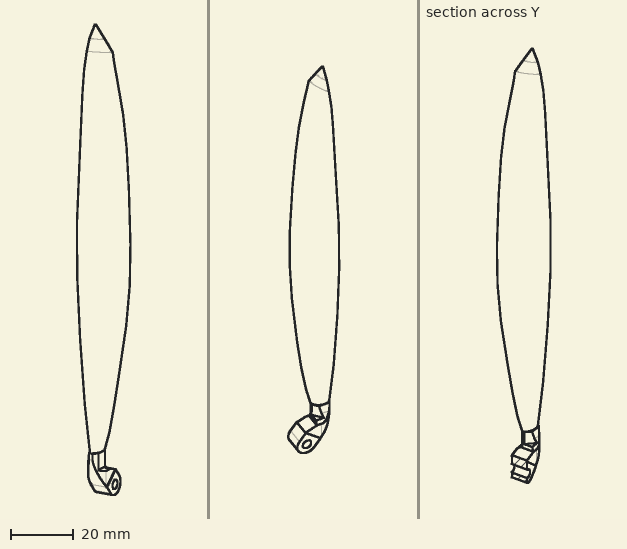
import cadquery as cq
import math

total_height = 160

lug_radius = 3.5
lug_width = 6.0
pin_diameter = 3.0
lug_length = 3.5
lug_tilt = 40

blade_start = 12.5
arm_back_bend = (-3.7, 6.4)
arm_back_top = -3.8
arm_front_bend = (-8.2, 5.5)
arm_front_top = -9.3
shoulder_height = 6.0
neck_left = -1.1
neck_right = 1.6
neck_right_height = 6.9
neck_left_bend = (-1.8, 9.6)
arm_width = 5.8
front_taper_start = -5.5
front_taper_middle = -7.7
front_taper_left = -2.4
front_taper_right = 2.0
nose_right = 0.2
back_flat_height = 8.0
back_flat_start = (1.0, -3.5)
back_flat_end = (-2.5, -6.7)

blade_tip = total_height - lug_radius
blade_sections = [
    (blade_start, (-0.8, arm_front_top), (1.5, -3.7), 2.2),
    (29.8, (-2.2, -10.2), (4.0, -1.3), 2.5),
    (47.2, (-3.4, -10.7), (6.4, -0.3), 2.5),
    (64.5, (-4.3, -10.9), (8.3, 0.0), 2.4),
    (87.7, (-4.8, -10.7), (9.0, -0.5), 2.2),
    (110.9, (-4.3, -10.0), (8.8, -2.0), 2.0),
    (128.3, (-3.8, -9.3), (7.5, -3.0), 1.3),
    (147.2, (-2.5, -8.3), (5.3, -5.1), 0.8),
]
tip_sections = [
    blade_sections[-1],
    (151.5, (-1.8, -8.0), (3.0, -6.2), 0.5),
    (blade_tip, (0, -7.5), (0.3, -7.4), 0.08),
]


def lug_point(along, across):
    """Turn lengthwise and crosswise lug distances into Y and Z."""
    tilt = math.radians(lug_tilt)
    y = -along * math.sin(tilt) + across * math.cos(tilt)
    z = along * math.cos(tilt) + across * math.sin(tilt)
    return (y, z)


def extrude_across(side_profile):
    return side_profile.extrude(lug_width / 2, both=True)


def make_lug():
    return extrude_across(
        cq.Workplane("YZ")
        .moveTo(*lug_point(0, lug_radius))
        .lineTo(*lug_point(lug_length, lug_radius))
        .lineTo(*lug_point(lug_length, -lug_radius))
        .lineTo(*lug_point(0, -lug_radius))
        .threePointArc(lug_point(-lug_radius, 0), lug_point(0, lug_radius))
        .close()
    )


def make_arm():
    side = extrude_across(
        cq.Workplane("YZ")
        .moveTo(*lug_point(lug_length, lug_radius))
        .lineTo(*arm_back_bend)
        .lineTo(arm_back_top, blade_start)
        .lineTo(arm_front_top, blade_start)
        .threePointArc(arm_front_bend, lug_point(lug_length, -lug_radius))
        .close()
    )
    narrowing = (
        cq.Workplane("XZ")
        .moveTo(-lug_width / 2, 0)
        .lineTo(-lug_width / 2, shoulder_height)
        .lineTo(*neck_left_bend)
        .lineTo(neck_left, blade_start)
        .lineTo(neck_right, blade_start)
        .lineTo(neck_right, neck_right_height)
        .lineTo(lug_width / 2, shoulder_height)
        .lineTo(lug_width / 2, 0)
        .close()
        .extrude(2 * lug_width, both=True)
    )
    rounded_front = (
        cq.Workplane("XY")
        .moveTo(-arm_width / 2, lug_radius)
        .lineTo(-arm_width / 2, front_taper_start)
        .threePointArc((front_taper_left, front_taper_middle), (neck_left, arm_front_top))
        .lineTo(nose_right, arm_front_top)
        .threePointArc((front_taper_right, front_taper_middle), (arm_width / 2, front_taper_start))
        .lineTo(arm_width / 2, lug_radius)
        .close()
        .extrude(blade_start)
    )
    back_corner = (
        cq.Workplane("XY", origin=(0, 0, back_flat_height))
        .moveTo(*back_flat_start)
        .lineTo(*back_flat_end)
        .lineTo(back_flat_end[0], back_flat_start[1])
        .close()
        .extrude(blade_start - back_flat_height)
    )
    return side.intersect(narrowing).intersect(rounded_front).cut(back_corner)


def lens_wire(section):
    z, front, back, thickness = section
    chord = math.dist(front, back)
    middle_x = (front[0] + back[0]) / 2
    middle_y = (front[1] + back[1]) / 2
    bulge_x = (back[1] - front[1]) / chord * thickness / 2
    bulge_y = (front[0] - back[0]) / chord * thickness / 2
    return (
        cq.Workplane("XY", origin=(0, 0, z))
        .moveTo(*front)
        .threePointArc((middle_x + bulge_x, middle_y + bulge_y), back)
        .threePointArc((middle_x - bulge_x, middle_y - bulge_y), front)
        .close()
        .val()
    )


def make_blade():
    main = cq.Solid.makeLoft([lens_wire(section) for section in blade_sections])
    tip = cq.Solid.makeLoft([lens_wire(section) for section in tip_sections], True)
    return cq.Workplane(main).union(cq.Workplane(tip))


pin_hole = extrude_across(cq.Workplane("YZ").circle(pin_diameter / 2))
result = make_lug().union(make_arm()).union(make_blade()).cut(pin_hole)